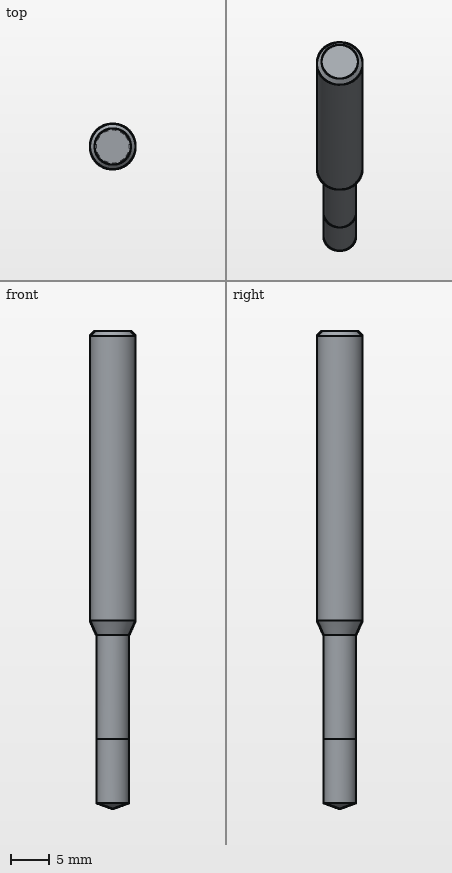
import cadquery as cq
import math

total_length = 62.75
shank_diameter = 6.0
drill_diameter = 4.3

point_angle = 140.0
cutting_length = 9.15
taper_start = 22.85
taper_end = 24.7
end_chamfer = 0.6

shank_radius = shank_diameter / 2
drill_radius = drill_diameter / 2
point_height = drill_radius / math.tan(math.radians(point_angle / 2))
bottom = -total_length / 2
top = bottom + total_length
joint_z = bottom + cutting_length


def revolve_profile(points):
    """Turn a closed (radius, height) outline around the Z axis."""
    return cq.Workplane("XZ").polyline(points).close().revolve(360, (0, 0, 0), (0, 1, 0))


def make_cutting_body():
    """Cylindrical cutting length with a conical point."""
    return revolve_profile([
        (0, bottom),
        (drill_radius, bottom + point_height),
        (drill_radius, joint_z),
        (0, joint_z),
    ])


def make_shank():
    """Neck, taper and chamfered shank, seated on top of the cutting body."""
    return revolve_profile([
        (0, joint_z),
        (drill_radius, joint_z),
        (drill_radius, bottom + taper_start),
        (shank_radius, bottom + taper_end),
        (shank_radius, top - end_chamfer),
        (shank_radius - end_chamfer, top),
        (0, top),
    ])


cutting_body = make_cutting_body()
shank = make_shank()

result = cq.Compound.makeCompound([cutting_body.val(), shank.val()])